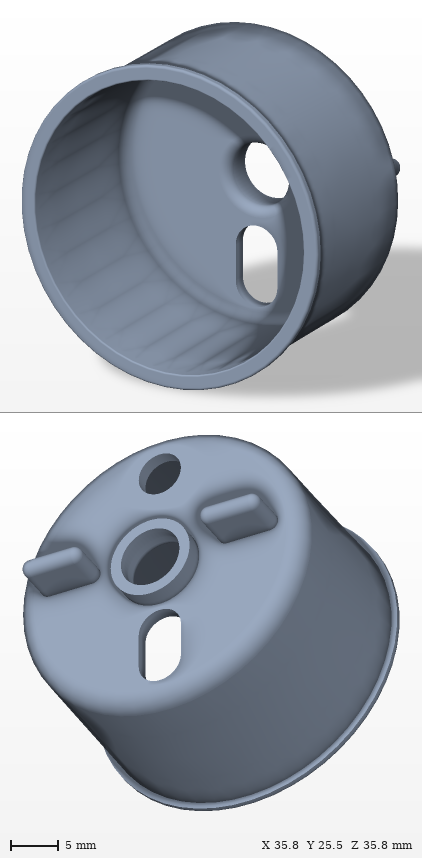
import cadquery as cq

rim_radius = 17.9
rim_thickness = 0.75
rim_edge_round = 0.3
cup_depth = 20.5
mouth_radius = 17.22
base_radius = 17.05
wall = 1.0
base_round = 2.0
inner_round = 1.07
mouth_round = 0.18
floor_thickness = 1.55

boss_radius = 4.7
boss_height = 2.2
bore_radius = 3.47
bore_round = 1.07

hole_radius = 2.5
hole_offset = 12.0
slot_inner_offset = 8.0

tab_width = 7.02
tab_thickness = 2.0
tab_height = 5.0
tab_offset = 10.55
tab_rise = 1.5
tab_round = 0.95

inner_floor = cup_depth - floor_thickness
through_length = cup_depth + boss_height


def drafted_solid(open_radius, closed_radius, depth, corner_round):
    """Tapered round plug from Y = 0 to depth, rounded at its closed end."""
    plug = (
        cq.Workplane("XY")
        .polyline([(0, 0), (open_radius, 0), (closed_radius, depth), (0, depth)])
        .close()
        .revolve(360, (0, 0, 0), (0, 1, 0))
    )
    return plug.faces(">Y").edges().fillet(corner_round)


def cylinder(radius, start, length, z=0):
    """Cylinder along +Y, centred on X = 0."""
    return cq.Workplane("XZ", origin=(0, start, z)).circle(radius).extrude(-length)


def tab(x):
    """Rounded tab that starts inside the floor."""
    length = floor_thickness / 2 + tab_height
    block = cq.Workplane("XY").box(tab_width, length, tab_thickness)
    block = block.edges("|Y or >Y").fillet(tab_round)
    return block.translate((x, cup_depth + tab_height - length / 2, tab_rise))


rim = cylinder(rim_radius, 0, rim_thickness).faces("<Y").edges().fillet(rim_edge_round)
cup = drafted_solid(mouth_radius, base_radius, cup_depth, base_round).union(rim)
cup = cup.cut(drafted_solid(mouth_radius - wall, base_radius - wall, inner_floor, inner_round))
cup = cup.faces("<Y").edges(cq.selectors.RadiusNthSelector(0)).fillet(mouth_round)
cup = cup.union(cylinder(boss_radius, inner_floor, floor_thickness + boss_height))

cup = cup.cut(cylinder(bore_radius, 0, through_length))
entry_margin = 0.35
entry_reach = bore_radius + entry_margin
bore_entry = cq.selectors.BoxSelector(
    (-entry_reach, inner_floor - entry_margin, -entry_reach),
    (entry_reach, inner_floor + entry_margin, entry_reach),
    boundingbox=True,
)
cup = cup.edges(bore_entry).fillet(bore_round)

slot_length = hole_offset - slot_inner_offset + 2 * hole_radius
slot_middle = -(hole_offset + slot_inner_offset) / 2
slot = (
    cq.Workplane("XZ", origin=(0, 0, slot_middle))
    .slot2D(slot_length, 2 * hole_radius, 90)
    .extrude(-through_length)
)
cup = cup.cut(cylinder(hole_radius, 0, through_length, hole_offset)).cut(slot)

result = cup
for side in (-1, 1):
    result = result.union(tab(side * tab_offset))